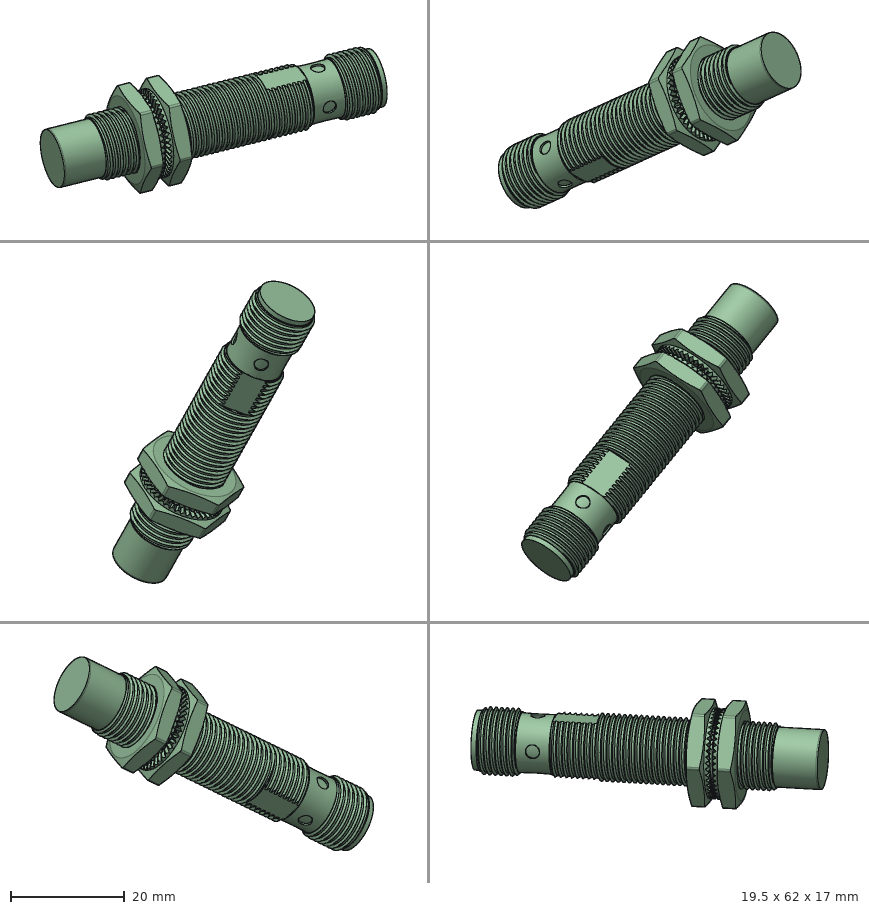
import cadquery as cq
import math

LENGTH = 62.0
AXIS = cq.Vector(0, 1, 0)

THREAD_DIAMETER = 12.0
CORE_DIAMETER = 11.0
PITCH = 1.0
RIDGE_ANGLE = 60.0
RIDGE_ROOT_DEPTH = 0.1
THREAD_START_RADIUS = 5.4
ENVELOPE_RADIUS = 6.1

PLAIN_DIAMETER = 10.6
FACE_DIAMETER = 10.5
FACE_CHAMFER_LENGTH = 0.25
CAP_LENGTH = 8.0
COLLAR_LENGTH = 0.95
CONNECTOR_LENGTH = 8.0
NECK_LENGTH = 6.0
NECK_WAIST_DIAMETER = 10.45
NECK_BACK = LENGTH - CONNECTOR_LENGTH
NECK_FRONT = NECK_BACK - NECK_LENGTH

WINDOW_COUNT = 4
WINDOW_DIAMETER = 2.5
WINDOW_FLOOR_DIAMETER = 9.7
WINDOW_Y = LENGTH - 11.0

FLAT_DISTANCE = 10.0
FLAT_FRONT = LENGTH - 22.0

NUT_FLATS = 17.0
NUT_CORNER_RADIUS = 0.48
NUT_LENGTH = 4.0
FLANGE_LENGTH = 0.8
FLANGE_DIAMETER = 16.0
HEX_LENGTH = NUT_LENGTH - FLANGE_LENGTH
HEX_CHAMFER_ANGLE = 15.0
NUT_GAP = 0.75
FRONT_NUT_Y = 14.25
BACK_NUT_Y = FRONT_NUT_Y + 2 * NUT_LENGTH + NUT_GAP

TOOTH_COUNT = 45
TOOTH_DEPTH = 0.5
TOOTH_WIDTH = 0.8


def turned(points):
    """Solid of revolution about Y from an (radius, y) outline."""
    return cq.Workplane("XY").polyline(points).close().revolve(360, (0, 0), (0, 1))


def cylinder(diameter, y_start, y_end):
    base = cq.Vector(0, y_start, 0)
    return cq.Workplane(obj=cq.Solid.makeCylinder(diameter / 2, y_end - y_start, base, AXIS))


def thread(y_start, y_end, start_radius=THREAD_START_RADIUS, end_radius=THREAD_START_RADIUS):
    """Core with one right-hand helical V ridge, trimmed at both ends.

    A 45 degree chamfer rises from each end radius; at ENVELOPE_RADIUS the end stays square.
    """
    core_radius = CORE_DIAMETER / 2
    crest_radius = THREAD_DIAMETER / 2
    root_radius = core_radius - RIDGE_ROOT_DEPTH
    half_width = (crest_radius - root_radius) * math.tan(math.radians(RIDGE_ANGLE / 2))
    overrun_start = y_start - PITCH
    overrun_end = y_end + PITCH
    helix = cq.Wire.makeHelix(PITCH, overrun_end - overrun_start, core_radius)
    ridge = (
        cq.Workplane("XZ")
        .polyline([(root_radius, -half_width), (crest_radius, 0), (root_radius, half_width)])
        .close()
        .sweep(cq.Workplane(obj=helix), isFrenet=True)
        .rotate((0, 0, 0), (1, 0, 0), -90)
        .translate((0, overrun_start, 0))
    )
    outline = [(0, y_start), (start_radius, y_start)]
    if start_radius < ENVELOPE_RADIUS:
        outline.append((ENVELOPE_RADIUS, y_start + ENVELOPE_RADIUS - start_radius))
    if end_radius < ENVELOPE_RADIUS:
        outline.append((ENVELOPE_RADIUS, y_end - ENVELOPE_RADIUS + end_radius))
    outline += [(end_radius, y_end), (0, y_end)]
    core = cylinder(CORE_DIAMETER, overrun_start - PITCH, overrun_end + PITCH)
    return core.union(ridge).intersect(turned(outline))


def neck():
    """Smooth neck with a slightly hollow, arched side."""
    plain_radius = PLAIN_DIAMETER / 2
    return (
        cq.Workplane("XY")
        .moveTo(0, NECK_FRONT)
        .lineTo(plain_radius, NECK_FRONT)
        .threePointArc(
            (NECK_WAIST_DIAMETER / 2, (NECK_FRONT + NECK_BACK) / 2),
            (plain_radius, NECK_BACK),
        )
        .lineTo(0, NECK_BACK)
        .close()
        .revolve(360, (0, 0), (0, 1))
    )


def windows():
    """Shallow round pockets whose floors follow the neck."""
    pockets = cq.Workplane("XY")
    for i in range(WINDOW_COUNT):
        pocket = (
            cq.Workplane("XY")
            .center(0, WINDOW_Y)
            .circle(WINDOW_DIAMETER / 2)
            .extrude(PLAIN_DIAMETER)
            .rotate((0, 0, 0), (0, 1, 0), i * 360 / WINDOW_COUNT)
        )
        pockets = pockets.add(pocket)
    pockets = pockets.combine()
    return pockets.cut(cylinder(WINDOW_FLOOR_DIAMETER, NECK_FRONT, NECK_BACK))


def main_thread():
    """Long thread whose back stretch is trimmed to two wrench flats, above and below the axis."""
    front_part = thread(CAP_LENGTH, FLAT_FRONT, end_radius=ENVELOPE_RADIUS)
    back_part = thread(FLAT_FRONT, NECK_FRONT, start_radius=ENVELOPE_RADIUS)
    block_size = 2 * THREAD_DIAMETER
    block = cq.Workplane("XY").box(block_size, block_size, block_size)
    block_z = (FLAT_DISTANCE + block_size) / 2
    for side in (1, -1):
        back_part = back_part.cut(block.translate((0, FLAT_FRONT, side * block_z)))
    return front_part.union(back_part)


def build_sensor():
    plain_radius = PLAIN_DIAMETER / 2
    cap = turned([
        (0, 0),
        (FACE_DIAMETER / 2, 0),
        (plain_radius, FACE_CHAMFER_LENGTH),
        (plain_radius, CAP_LENGTH),
        (0, CAP_LENGTH),
    ])
    collar_front = LENGTH - COLLAR_LENGTH
    return (
        cap
        .union(main_thread())
        .union(neck().cut(windows()))
        .union(thread(NECK_BACK, collar_front))
        .union(cylinder(PLAIN_DIAMETER, collar_front, LENGTH))
    )


def serrations():
    """Radial V grooves in the flange face, which lies at Y = NUT_LENGTH."""
    groove = (
        cq.Workplane("YZ")
        .polyline([
            (NUT_LENGTH - TOOTH_DEPTH, 0),
            (NUT_LENGTH, TOOTH_WIDTH / 2),
            (NUT_LENGTH, -TOOTH_WIDTH / 2),
        ])
        .close()
        .extrude(FLANGE_DIAMETER)
    )
    step = 360 / TOOTH_COUNT
    return [groove.rotate((0, 0, 0), (0, 1, 0), i * step).val() for i in range(TOOTH_COUNT)]


def build_nut():
    """Hex nut with its plain face at Y = 0 and its serrated flange toward +Y."""
    corner_diameter = NUT_FLATS / math.cos(math.radians(30))
    corner_radius = corner_diameter / 2
    flange_radius = FLANGE_DIAMETER / 2
    drop = (corner_radius - flange_radius) * math.tan(math.radians(HEX_CHAMFER_ANGLE))
    chamfers = turned([
        (0, 0),
        (flange_radius, 0),
        (corner_radius, drop),
        (corner_radius, HEX_LENGTH - drop),
        (flange_radius, HEX_LENGTH),
        (0, HEX_LENGTH),
    ])
    hexagon = (
        cq.Workplane("XZ")
        .polygon(6, corner_diameter)
        .extrude(-HEX_LENGTH)
        .edges("|Y")
        .fillet(NUT_CORNER_RADIUS)
        .intersect(chamfers)
    )
    flange = cylinder(FLANGE_DIAMETER, HEX_LENGTH, NUT_LENGTH)
    bore = cylinder(THREAD_DIAMETER, 0, NUT_LENGTH)
    flange = cq.Workplane(obj=flange.cut(bore).val().cut(*serrations()))
    return hexagon.cut(bore).union(flange)


sensor = build_sensor()

nut = build_nut()
front_nut = nut.translate((0, FRONT_NUT_Y, 0))
back_nut = nut.rotate((0, 0, 0), (1, 0, 0), 180).translate((0, BACK_NUT_Y, 0))

result = cq.Compound.makeCompound([sensor.val(), front_nut.val(), back_nut.val()])